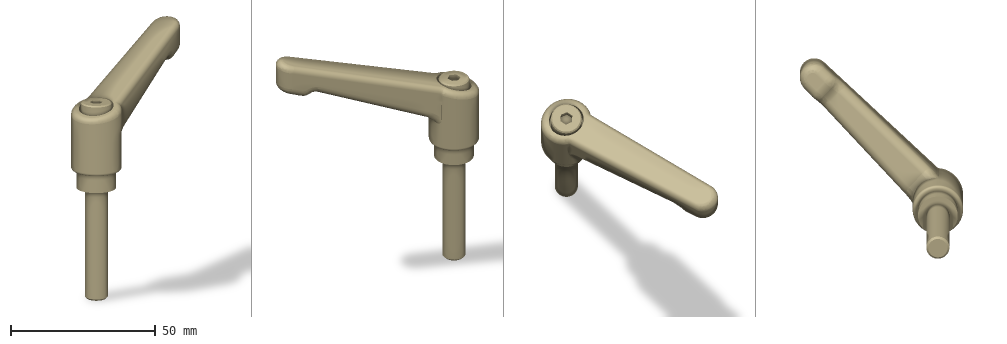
import cadquery as cq
import math

SHANK_DIAMETER = 8.0
SHANK_LENGTH = 40.0
SHANK_CHAMFER = 0.7
COLLAR_DIAMETER = 13.8
COLLAR_HEIGHT = 6.5

BOSS_DIAMETER = 17.5
BOSS_BOTTOM_FILLET = 1.0
BOSS_BASE_Z = SHANK_LENGTH + COLLAR_HEIGHT

TOP_AXIS_Z = 69.2
TOP_SLOPE = 0.26
TOP_FILLET = 1.95

ARM_END_Y = 63.0
TIP_RADIUS = 5.1
ROOT_HALF_WIDTH = 6.6
ARM_BOTTOM_FILLET = 3.15
ROOT_CORNER_FILLET = 1.3
BLEND_OVERLAP = 0.04

TIP_BOTTOM = (ARM_END_Y, 74.3)
BUMP_START = (55.3, 72.0)
BUMP_MIDDLE = (53.5, 71.7)
BUMP_END = (51.9, 72.2)
NECK_MIDDLE = (50.5, 72.9)
NECK_END = (48.8, 72.7)
ROOT_CURVE_START = (10.5, 58.8)
ROOT_CURVE_MIDDLE = (7.8, 56.8)
ROOT_CURVE_END = (5.35, 53.2)
ROOT_BOTTOM_Z = 51.0

SCREW_DIAMETER = 10.6
SCREW_TOP_Z = 70.95
SCREW_CHAMFER = 0.4
HEX_ACROSS_FLATS = 4.0
HEX_DEPTH = 2.55
RECESS_DIAMETER = 12.1
RECESS_FLOOR_Z = 63.7

CUT_TOP_Z = 93.5


def top_z(y):
    """Height of the sloping top face at a given Y."""
    return TOP_AXIS_Z + TOP_SLOPE * y


def make_stud():
    shank = cq.Workplane("XY").circle(SHANK_DIAMETER / 2).extrude(SHANK_LENGTH)
    shank = shank.faces("<Z").chamfer(SHANK_CHAMFER)
    collar = (
        cq.Workplane("XY", origin=(0, 0, SHANK_LENGTH))
        .circle(COLLAR_DIAMETER / 2)
        .extrude(COLLAR_HEIGHT)
    )
    return shank.union(collar)


def make_boss():
    radius = BOSS_DIAMETER / 2
    cylinder = (
        cq.Workplane("XY", origin=(0, 0, BOSS_BASE_Z))
        .circle(radius)
        .extrude(CUT_TOP_Z - BOSS_BASE_Z)
    )
    below_top = (
        cq.Workplane("YZ")
        .moveTo(-BOSS_DIAMETER, 0)
        .lineTo(BOSS_DIAMETER, 0)
        .lineTo(BOSS_DIAMETER, top_z(BOSS_DIAMETER))
        .lineTo(-BOSS_DIAMETER, top_z(-BOSS_DIAMETER))
        .close()
        .extrude(BOSS_DIAMETER, both=True)
    )
    boss = cylinder.intersect(below_top)
    boss = boss.faces(">Z").edges().fillet(TOP_FILLET)
    return boss.faces("<Z").edges().fillet(BOSS_BOTTOM_FILLET)


def make_arm():
    side_profile = (
        cq.Workplane("YZ")
        .moveTo(0, top_z(0))
        .lineTo(ARM_END_Y, top_z(ARM_END_Y))
        .lineTo(*TIP_BOTTOM)
        .lineTo(*BUMP_START)
        .threePointArc(BUMP_MIDDLE, BUMP_END)
        .threePointArc(NECK_MIDDLE, NECK_END)
        .lineTo(*ROOT_CURVE_START)
        .threePointArc(ROOT_CURVE_MIDDLE, ROOT_CURVE_END)
        .lineTo(ROOT_CURVE_END[0], ROOT_BOTTOM_Z)
        .lineTo(0, ROOT_BOTTOM_Z)
        .close()
        .extrude(BOSS_DIAMETER, both=True)
    )

    tip_center_y = ARM_END_Y - TIP_RADIUS
    taper = math.asin((ROOT_HALF_WIDTH - TIP_RADIUS) / tip_center_y)
    tangent_x = TIP_RADIUS * math.cos(taper)
    tangent_y = tip_center_y + TIP_RADIUS * math.sin(taper)

    blend_reach = BOSS_DIAMETER / 2 - BLEND_OVERLAP + ROOT_CORNER_FILLET
    side_offset = ROOT_HALF_WIDTH + ROOT_CORNER_FILLET
    center_angle = taper + math.acos(side_offset / blend_reach)
    center_x = blend_reach * math.cos(center_angle)
    center_y = blend_reach * math.sin(center_angle)
    start_angle = math.pi + center_angle
    end_angle = math.pi + taper
    blend = [
        (center_x + ROOT_CORNER_FILLET * math.cos(a), center_y + ROOT_CORNER_FILLET * math.sin(a))
        for a in (start_angle, (start_angle + end_angle) / 2, end_angle)
    ]
    mirrored_blend = [(-x, y) for x, y in blend]

    outline = (
        cq.Workplane("XY")
        .moveTo(-blend[0][0], 0)
        .lineTo(blend[0][0], 0)
        .lineTo(*blend[0])
        .threePointArc(blend[1], blend[2])
        .lineTo(tangent_x, tangent_y)
        .threePointArc((0, ARM_END_Y), (-tangent_x, tangent_y))
        .lineTo(*mirrored_blend[2])
        .threePointArc(mirrored_blend[1], mirrored_blend[0])
        .close()
        .extrude(CUT_TOP_Z)
    )
    arm = side_profile.intersect(outline)

    top_normal = cq.Vector(0, -TOP_SLOPE, 1)
    top_rim = arm.faces(cq.selectors.ParallelDirSelector(top_normal)).edges("not |X")
    arm = top_rim.fillet(TOP_FILLET)
    underside_zone = cq.selectors.BoxSelector(
        (-BOSS_DIAMETER, ROOT_CURVE_END[0], 0),
        (BOSS_DIAMETER, ARM_END_Y, TIP_BOTTOM[1]),
    )
    bottom_rim = arm.edges("not (|X or |Z)").edges(underside_zone)
    arm = bottom_rim.fillet(ARM_BOTTOM_FILLET)
    return arm


def make_lever():
    lever = make_boss().union(make_arm())
    recess = (
        cq.Workplane("XY", origin=(0, 0, RECESS_FLOOR_Z))
        .circle(RECESS_DIAMETER / 2)
        .extrude(CUT_TOP_Z - RECESS_FLOOR_Z)
    )
    return lever.cut(recess)


def make_screw():
    head = (
        cq.Workplane("XY", origin=(0, 0, RECESS_FLOOR_Z))
        .circle(SCREW_DIAMETER / 2)
        .extrude(SCREW_TOP_Z - RECESS_FLOOR_Z)
    )
    head = head.faces(">Z").chamfer(SCREW_CHAMFER)
    hex_socket = (
        cq.Workplane("XY", origin=(0, 0, SCREW_TOP_Z - HEX_DEPTH))
        .polygon(6, HEX_ACROSS_FLATS / math.cos(math.pi / 6))
        .extrude(HEX_DEPTH)
        .rotate((0, 0, 0), (0, 0, 1), 90)
    )
    return head.cut(hex_socket)


stud = make_stud()
lever = make_lever()
screw = make_screw()

result = cq.Compound.makeCompound([stud.val(), lever.val(), screw.val()])